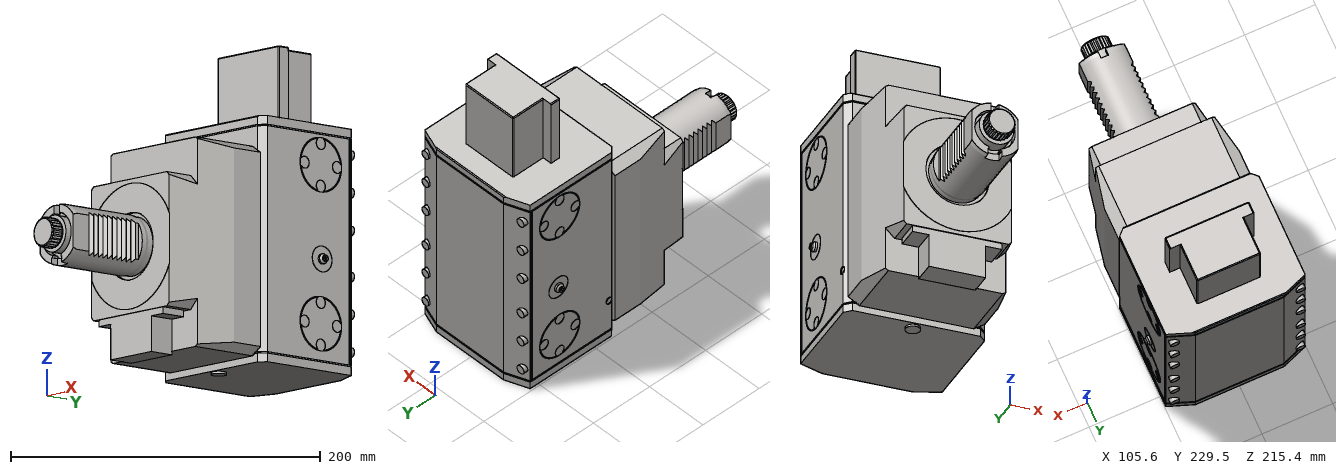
import cadquery as cq
import math


OVERALL_LENGTH = 229.5

CASE_HALF_WIDTH = 49.3
CASE_BACK = 154.0
CASE_FRONT = 70.2
CASE_TOP = 88.4
CASE_BOTTOM = -73.5
CASE_MIDDLE = (CASE_TOP + CASE_BOTTOM) / 2
BACK_BEVEL_WIDTH = 18.0
BACK_BEVEL_DEPTH = 6.7
FRONT_BEVEL = 4.5
TOP_CHAMFER = 0.7
PLATE_THICKNESS = 5.7
COVER_THICKNESS = 8.5
SEAM_WIDTH = 1.0
SEAM_DEPTH = 0.2

SCREW_DIAMETER = 6.5
SCREW_X = 44.5
SCREW_END = 151.5
SCREW_LENGTH = 6.9
SCREW_OFFSETS = (15.1, 40.0, 64.7)

PLUG_Y = 121.0
PLUG_HEIGHTS = (61.7, -42.7)
PLUG_DIAMETER = 35.8
PLUG_SEAM = 0.7
PLUG_PIN_DIAMETER = 7.8
PLUG_PIN_RADIUS = 14.0
MARK_DEPTH = 0.2
NIPPLE_Y = 122.0
NIPPLE_SEAT_DIAMETER = 17.0
NIPPLE_BASE_RADIUS = 3.33
NIPPLE_BASE_LENGTH = 1.1
NIPPLE_NECK_RADIUS = 1.8
NIPPLE_TIP_RADIUS = 2.18
NIPPLE_TIP_LENGTH = 1.1
NIPPLE_LENGTH = 3.5
NIPPLE_BORE = 2.1
FOOT_Y = 76.7
FOOT_DIAMETER = 10.0
FOOT_HEIGHT = 1.4
LOCK_HOLE_Z = -41.3
LOCK_HOLE_DIAMETER = 5.3
LOCK_HOLE_DEPTH = 0.7

BLOCK_TOP = 140.5
BLOCK_STEM_HALF_WIDTH = 22.5
BLOCK_HALF_WIDTH = 29.8
BLOCK_BACK = 137.0
BLOCK_SHOULDER = 110.2
BLOCK_FRONT = 102.0
BLOCK_CHAMFER = 0.7

HEAD_HALF_WIDTH = 47.7
HEAD_TAPER_START = 47.3
HEAD_FACE_HALF_WIDTH = 37.6
HEAD_STEP = 20.7
HEAD_HALF_HEIGHT = 68.8
HEAD_CHAMFER_WIDTH = 7.8
HEAD_CHAMFER_HEIGHT = 5.0
FACE_HALF_HEIGHT = 44.0
FACE_TOP_HALF_WIDTH = 35.5
FACE_CHAMFER = HEAD_HALF_WIDTH - FACE_TOP_HALF_WIDTH
FACE_RECESS_DIAMETER = 82.6
FACE_RECESS_DEPTH = 0.2
RING_RECESS_DIAMETER = 44.0
RING_RECESS_DEPTH = 2.3

KEY_BACK = 18.4
KEY_FRONT = 0.7
KEY_HALF_WIDTH = 31.2
KEY_STEM_HALF_WIDTH = 19.7
KEY_SHOULDER = -48.5
KEY_BOTTOM = -71.8

NECK_DIAMETER = 38.8
NECK_END = 1.4
SHANK_START = 3.7
SHANK_DIAMETER = 40.0
SHANK_END = 60.4
NOSE_DIAMETER = 38.8
NOSE_END = 63.5
BORE_DIAMETER = 28.2
UNDERCUT_DIAMETER = 30.3
UNDERCUT_START = 57.4
COLLAR_DIAMETER = 24.0
COLLAR_END = 66.3
RELIEF_DIAMETER = 18.4
RELIEF_END = 67.0
SPLINE_DIAMETER = 19.7
SPLINE_END = OVERALL_LENGTH - CASE_BACK
SPLINE_CHAMFER = 1.1
SPLINE_TEETH = 24
SPLINE_DEPTH = 1.0
FLAT_HALF_WIDTH = 16.0
FLAT_START = 7.3
TOOTH_COUNT = 10
FIRST_TOOTH = 12.0
LAST_TOOTH = 48.0
TOOTH_PITCH = (LAST_TOOTH - FIRST_TOOTH) / (TOOTH_COUNT - 1)
TOOTH_DEPTH = TOOTH_PITCH / 2
SLOT_START = 58.5
TOP_SLOT_WIDTH = 5.3
BOTTOM_SLOT_WIDTH = 9.6
BOTTOM_SLOT_FLOOR = 15.0
BOTTOM_SLOT_NECK_WIDTH = 8.5


def box(x0, x1, y0, y1, z0, z1):
    """Box between two opposite corners."""
    return cq.Workplane("XY").box(x1 - x0, y1 - y0, z1 - z0, centered=False).translate((x0, y0, z0))


def rod(start, direction, diameter, length):
    """Round rod from a start point along a direction."""
    return cq.Workplane(cq.Solid.makeCylinder(diameter / 2, length, cq.Vector(*start), cq.Vector(*direction)))


def prism(points, z0, z1):
    """Outline in X and Y extruded between two heights."""
    return cq.Workplane("XY").workplane(offset=z0).polyline(points).close().extrude(z1 - z0)


def mirrored(right_points):
    """Closed outline made from its right half and the mirror image about X = 0."""
    return right_points + [(-x, y) for x, y in reversed(right_points)]


def case_outline(inset=0.0):
    """Bevelled plan of the case, optionally shrunk by an inset."""
    half_width = CASE_HALF_WIDTH - inset
    back = CASE_BACK - inset
    front = CASE_FRONT + inset
    return mirrored([
        (half_width - FRONT_BEVEL, front),
        (half_width, front + FRONT_BEVEL),
        (half_width, back - BACK_BEVEL_DEPTH),
        (half_width - BACK_BEVEL_WIDTH, back),
    ])


def make_case():
    """Case with its seams, cover screws and foot."""
    case = prism(case_outline(), CASE_BOTTOM, CASE_TOP)
    case = case.edges("|X and >Z").chamfer(TOP_CHAMFER)
    core_bottom = CASE_BOTTOM + PLATE_THICKNESS
    core_top = CASE_TOP - PLATE_THICKNESS

    for seam_bottom in (core_bottom, core_top - SEAM_WIDTH):
        seam_top = seam_bottom + SEAM_WIDTH
        ring = prism(case_outline(), seam_bottom, seam_top)
        case = case.cut(ring.cut(prism(case_outline(SEAM_DEPTH), seam_bottom, seam_top)))

    seam_y = CASE_BACK - COVER_THICKNESS
    for side in (-1, 1):
        wall = side * CASE_HALF_WIDTH
        x0, x1 = sorted((wall, wall - side * SEAM_DEPTH))
        case = case.cut(box(x0, x1, seam_y, seam_y + SEAM_WIDTH, core_bottom, core_top))

    for x in (-SCREW_X, SCREW_X):
        for offset in SCREW_OFFSETS:
            for z in (CASE_MIDDLE - offset, CASE_MIDDLE + offset):
                case = case.union(rod((x, SCREW_END, z), (0, -1, 0), SCREW_DIAMETER, SCREW_LENGTH))

    return case.union(rod((0, FOOT_Y, CASE_BOTTOM), (0, 0, -1), FOOT_DIAMETER, FOOT_HEIGHT))


def side_marks(side):
    """Shallow plug and seat outlines to remove from one side wall."""
    wall = side * CASE_HALF_WIDTH
    inward = (-side, 0, 0)
    marks = rod((wall, NIPPLE_Y, 0), inward, NIPPLE_SEAT_DIAMETER, MARK_DEPTH)
    for plug_z in PLUG_HEIGHTS:
        center = (wall, PLUG_Y, plug_z)
        plug = rod(center, inward, PLUG_DIAMETER - 2 * PLUG_SEAM, MARK_DEPTH)
        marks = marks.union(rod(center, inward, PLUG_DIAMETER, MARK_DEPTH).cut(plug))
        for quarter in range(4):
            angle = quarter * math.pi / 2
            pin_y = PLUG_Y + PLUG_PIN_RADIUS * math.cos(angle)
            pin_z = plug_z + PLUG_PIN_RADIUS * math.sin(angle)
            pin = rod((wall, pin_y, pin_z), inward, PLUG_PIN_DIAMETER, MARK_DEPTH)
            marks = marks.union(pin.intersect(plug))
    return marks


def make_nipple(side):
    """Grease nipple standing out of one side wall."""
    tip_start = NIPPLE_LENGTH - NIPPLE_TIP_LENGTH
    profile = [
        (0, -MARK_DEPTH),
        (NIPPLE_BASE_RADIUS, -MARK_DEPTH),
        (NIPPLE_BASE_RADIUS, NIPPLE_BASE_LENGTH),
        (NIPPLE_NECK_RADIUS, tip_start),
        (NIPPLE_TIP_RADIUS, NIPPLE_LENGTH),
        (NIPPLE_BORE / 2, NIPPLE_LENGTH),
        (NIPPLE_BORE / 2, tip_start),
        (0, tip_start),
    ]
    plane = cq.Plane(origin=(side * CASE_HALF_WIDTH, NIPPLE_Y, 0), xDir=(0, 1, 0), normal=(0, 0, side))
    outline = [(radius, -height) for radius, height in profile]
    return cq.Workplane(plane).polyline(outline).close().revolve(360, (0, 0), (0, 1))


def make_block():
    """T-shaped block with its outer corners and top edges chamfered."""
    flange = box(-BLOCK_HALF_WIDTH, BLOCK_HALF_WIDTH, BLOCK_FRONT, BLOCK_SHOULDER, CASE_TOP, BLOCK_TOP)
    flange = flange.edges("(>Z and (not >Y)) or (|Z and <Y)").chamfer(BLOCK_CHAMFER)
    stem_half = BLOCK_STEM_HALF_WIDTH
    stem = box(-stem_half, stem_half, BLOCK_SHOULDER, BLOCK_BACK, CASE_TOP, BLOCK_TOP)
    stem = stem.edges("(>Z and (not <Y)) or (|Z and >Y)").chamfer(BLOCK_CHAMFER)
    return flange.union(stem)


def chamfered_bar(half_height, chamfer_width, chamfer_height, y0, y1):
    """Bar along Y, as wide as the head, with chamfered long edges."""
    upper = [
        (HEAD_HALF_WIDTH, half_height - chamfer_height),
        (HEAD_HALF_WIDTH - chamfer_width, half_height),
    ]
    right_half = [(x, -z) for x, z in reversed(upper)] + upper
    section = cq.Workplane("XZ", origin=(0, y1, 0)).polyline(mirrored(right_half)).close()
    return section.extrude(y1 - y0)


def make_head():
    """Stepped and tapered head with the key below its face."""
    plan = mirrored([
        (HEAD_FACE_HALF_WIDTH, 0),
        (HEAD_HALF_WIDTH, HEAD_TAPER_START),
        (HEAD_HALF_WIDTH, CASE_FRONT),
    ])
    rear = chamfered_bar(HEAD_HALF_HEIGHT, HEAD_CHAMFER_WIDTH, HEAD_CHAMFER_HEIGHT, HEAD_STEP, CASE_FRONT)
    front = chamfered_bar(FACE_HALF_HEIGHT, FACE_CHAMFER, FACE_CHAMFER, 0, HEAD_STEP)
    head = rear.union(front).intersect(prism(plan, -HEAD_HALF_HEIGHT, HEAD_HALF_HEIGHT))

    head = head.cut(rod((0, 0, 0), (0, 1, 0), FACE_RECESS_DIAMETER, FACE_RECESS_DEPTH))
    head = head.cut(rod((0, 0, 0), (0, 1, 0), RING_RECESS_DIAMETER, RING_RECESS_DEPTH))

    key_arm = box(-KEY_HALF_WIDTH, KEY_HALF_WIDTH, KEY_FRONT, KEY_BACK, KEY_SHOULDER, -FACE_HALF_HEIGHT)
    key_stem = box(-KEY_STEM_HALF_WIDTH, KEY_STEM_HALF_WIDTH, KEY_FRONT, KEY_BACK, KEY_BOTTOM, KEY_SHOULDER)
    return head.union(key_arm).union(key_stem)


def make_spline():
    """Toothed drive end with V-shaped gaps."""
    length = SPLINE_END - RELIEF_END
    tip_radius = SPLINE_DIAMETER / 2
    root_radius = tip_radius - SPLINE_DEPTH
    points = []
    for index in range(2 * SPLINE_TEETH):
        radius = root_radius if index % 2 else tip_radius
        angle = index * math.pi / SPLINE_TEETH
        points.append((radius * math.cos(angle), radius * math.sin(angle)))
    spline = cq.Workplane("XZ", origin=(0, -RELIEF_END, 0)).polyline(points).close().extrude(length)
    blank = rod((0, -RELIEF_END, 0), (0, -1, 0), SPLINE_DIAMETER, length)
    return spline.intersect(blank.faces("<Y").chamfer(SPLINE_CHAMFER))


def make_flat(side):
    """Material to remove for one toothed flat of the shank."""
    outer = side * SHANK_DIAMETER
    flat = side * FLAT_HALF_WIDTH
    root = side * (FLAT_HALF_WIDTH - TOOTH_DEPTH)
    points = [(outer, -FLAT_START), (flat, -FLAT_START)]
    for index in range(TOOTH_COUNT):
        center = -FIRST_TOOTH - index * TOOTH_PITCH
        points += [(flat, center + TOOTH_PITCH / 2), (root, center)]
    last_edge = -LAST_TOOTH - TOOTH_PITCH / 2
    points += [(flat, last_edge), (flat, -NOSE_END), (outer, -NOSE_END)]
    return prism(points, -SHANK_DIAMETER, SHANK_DIAMETER)


def make_shank():
    """Stepped shank with toothed flats, driving slots and spline."""
    profile = [
        (0, RING_RECESS_DEPTH),
        (NECK_DIAMETER / 2, RING_RECESS_DEPTH),
        (NECK_DIAMETER / 2, -NECK_END),
        (SHANK_DIAMETER / 2, -SHANK_START),
        (SHANK_DIAMETER / 2, -SHANK_END),
        (NOSE_DIAMETER / 2, -NOSE_END),
        (BORE_DIAMETER / 2, -NOSE_END),
        (BORE_DIAMETER / 2, -SLOT_START),
        (UNDERCUT_DIAMETER / 2, -SLOT_START),
        (UNDERCUT_DIAMETER / 2, -UNDERCUT_START),
        (COLLAR_DIAMETER / 2, -UNDERCUT_START),
        (COLLAR_DIAMETER / 2, -COLLAR_END),
        (RELIEF_DIAMETER / 2, -COLLAR_END),
        (RELIEF_DIAMETER / 2, -RELIEF_END),
        (0, -RELIEF_END),
    ]
    shank = cq.Workplane("XY").polyline(profile).close().revolve(360, (0, 0), (0, 1))
    for side in (-1, 1):
        shank = shank.cut(make_flat(side))

    slot_inner = COLLAR_DIAMETER / 2
    slots = [
        (TOP_SLOT_WIDTH, slot_inner, SHANK_DIAMETER),
        (BOTTOM_SLOT_WIDTH, -SHANK_DIAMETER, -BOTTOM_SLOT_FLOOR),
        (BOTTOM_SLOT_NECK_WIDTH, -BOTTOM_SLOT_FLOOR, -slot_inner),
    ]
    for width, z0, z1 in slots:
        shank = shank.cut(box(-width / 2, width / 2, -NOSE_END, -SLOT_START, z0, z1))
    return shank.union(make_spline())


result = make_case().union(make_block()).union(make_head()).union(make_shank())
for side in (-1, 1):
    result = result.cut(side_marks(side)).union(make_nipple(side))

lock_hole_start = (-CASE_HALF_WIDTH, FOOT_Y, LOCK_HOLE_Z)
result = result.cut(rod(lock_hole_start, (1, 0, 0), LOCK_HOLE_DIAMETER, LOCK_HOLE_DEPTH))